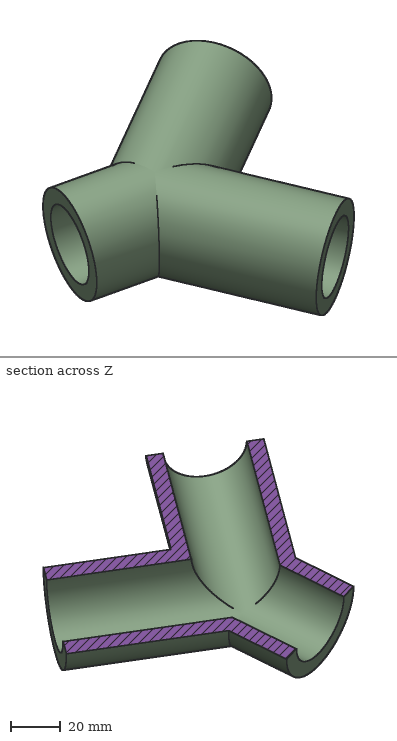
import cadquery as cq
import math

overall_width = 141.9
overall_depth = 109.0
outer_diameter = 48.2
bore_diameter = 34.0
arm_angle = 45.0

tilt = math.radians(arm_angle)
outer_radius = outer_diameter / 2
arm_length = (overall_width / 2 - outer_radius * math.cos(tilt)) / math.sin(tilt)
arm_reach = arm_length * math.cos(tilt) + outer_radius * math.sin(tilt)
stem_length = overall_depth - arm_reach

branches = [
    (cq.Vector(0, -1, 0), stem_length),
    (cq.Vector(math.sin(tilt), math.cos(tilt), 0), arm_length),
    (cq.Vector(-math.sin(tilt), math.cos(tilt), 0), arm_length),
]


def joined_cylinders(diameter):
    """Union of one cylinder per branch, all starting at the origin."""
    joined = cq.Workplane("XY")
    for direction, length in branches:
        cylinder = cq.Solid.makeCylinder(diameter / 2, length, cq.Vector(0, 0, 0), direction)
        joined = joined.add(cylinder)
    return joined.combine()


body = joined_cylinders(outer_diameter)
bores = joined_cylinders(bore_diameter)
result = body.cut(bores)